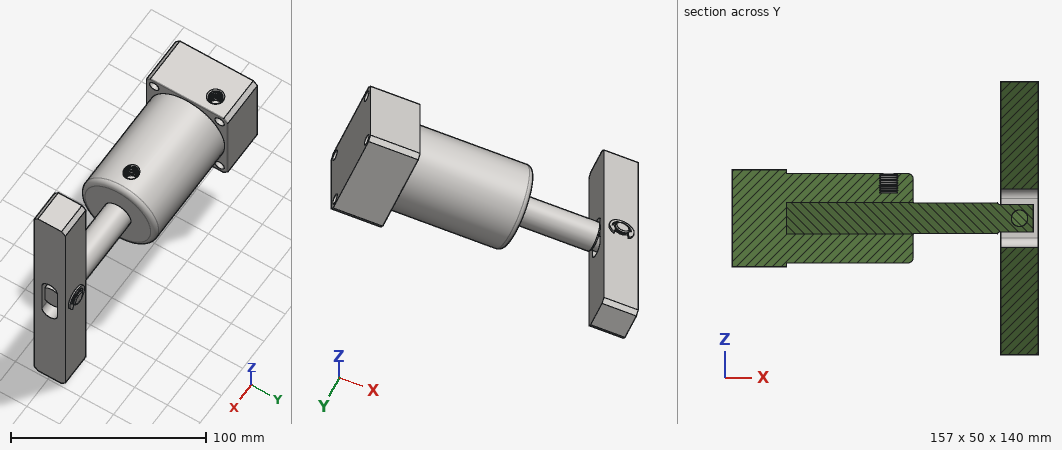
import cadquery as cq
import math

total_length = 157.0

block_length = 28.0
block_width = 50.0
block_chamfer = 2.5
block_edge_radius = 0.3
barrel_end = 93.0
barrel_radius = 23.1
barrel_fillet = 3.0
bolt_spacing = 40.0
bolt_hole_diameter = 5.7

port_major_radius = 4.7
port_minor_radius = 4.0
thread_pitch = 1.3
thread_count = 8
port_depth = thread_count * thread_pitch
block_port_x = 18.8
block_port_y = 11.6
barrel_port_x = 80.2
passage_diameter = 1.3
passage_depth = 2.5

rod_radius = 8.0
rod_chamfer = 1.0
shoulder_x = 136.9
tongue_width = 9.4
tongue_radius = rod_radius - rod_chamfer

arm_length = 19.3
arm_width = 19.2
arm_height = 140.0
arm_chamfer = 2.4
slot_length = 29.7
arm_x = total_length - arm_length / 2
tongue_end = arm_x + tongue_radius

pin_radius = 4.1
pin_length = 23.5
pin_chamfer = 0.6
groove_radius = 3.1
clip_radius = 6.9
clip_thickness = 1.0
clip_relief_radius = 5.3
relief_start_angle = 5.0
relief_end_angle = 70.0
mouth_inner_width = 2 * groove_radius
mouth_outer_width = 8.5


def rod_axis_cylinder(radius, start_x, end_x):
    """Cylinder on the X axis between two X positions."""
    return cq.Workplane("YZ", origin=(start_x, 0, 0)).circle(radius).extrude(end_x - start_x)


def cross_cylinder(radius, length):
    """Cylinder along Y through the pin centre, symmetric about the rod axis."""
    return cq.Workplane("XZ", origin=(arm_x, 0, 0)).circle(radius).extrude(length / 2, both=True)


def threaded_port(x, y, top_z):
    """Cutter for a blind flat-bottomed port with V-shaped thread grooves."""
    outline = cq.Workplane("XZ").moveTo(0, -port_depth).lineTo(port_major_radius, -port_depth)
    for turn in range(thread_count):
        turn_bottom = turn * thread_pitch - port_depth
        outline = outline.lineTo(port_minor_radius, turn_bottom + thread_pitch / 2)
        outline = outline.lineTo(port_major_radius, turn_bottom + thread_pitch)
    outline = outline.lineTo(port_major_radius, thread_pitch).lineTo(0, thread_pitch).close()
    cutter = outline.revolve(360, (0, 0, 0), (0, 1, 0))
    return cutter.translate((x, y, top_z))


def make_housing():
    block = (
        cq.Workplane("YZ")
        .rect(block_width, block_width)
        .extrude(block_length)
        .edges("|X")
        .chamfer(block_chamfer)
        .faces(">X")
        .edges()
        .fillet(block_edge_radius)
    )
    bolt_holes = (
        cq.Workplane("YZ")
        .rect(bolt_spacing, bolt_spacing, forConstruction=True)
        .vertices()
        .circle(bolt_hole_diameter / 2)
        .extrude(block_length)
    )
    barrel = rod_axis_cylinder(barrel_radius, block_length, barrel_end)
    barrel = barrel.faces(">X").edges().fillet(barrel_fillet)
    rod_bore = rod_axis_cylinder(rod_radius, block_length, barrel_end)
    block_top = block_width / 2
    passage = (
        cq.Workplane("XY", origin=(block_port_x, block_port_y, block_top - port_depth))
        .circle(passage_diameter / 2)
        .extrude(-passage_depth)
    )
    return (
        block.cut(bolt_holes)
        .union(barrel)
        .cut(rod_bore)
        .cut(threaded_port(block_port_x, block_port_y, block_top))
        .cut(passage)
        .cut(threaded_port(barrel_port_x, 0, barrel_radius))
    )


def make_rod():
    shaft = rod_axis_cylinder(rod_radius, block_length, shoulder_x)
    shaft = shaft.faces(">X").edges().chamfer(rod_chamfer)
    tongue_length = tongue_end - shoulder_x
    flats = cq.Workplane("XY").box(tongue_length, tongue_width, 2 * tongue_radius)
    flats = flats.translate((shoulder_x + tongue_length / 2, 0, 0))
    tongue = rod_axis_cylinder(tongue_radius, shoulder_x, tongue_end).intersect(flats)
    return shaft.union(tongue).cut(cross_cylinder(pin_radius, pin_length))


def make_arm():
    bar = (
        cq.Workplane("XY")
        .box(arm_length, arm_width, arm_height)
        .edges("|X")
        .chamfer(arm_chamfer)
        .translate((arm_x, 0, 0))
    )
    slot = (
        cq.Workplane("YZ", origin=(arm_x, 0, 0))
        .slot2D(slot_length, tongue_width, 90)
        .extrude(arm_length / 2, both=True)
    )
    return bar.cut(slot).cut(cross_cylinder(pin_radius, arm_width))


def make_pin():
    pin = cross_cylinder(pin_radius, pin_length).faces("<Y or >Y").edges().chamfer(pin_chamfer)
    clip_span = cross_cylinder(pin_radius, arm_width + 2 * clip_thickness)
    grooves = clip_span.cut(cross_cylinder(pin_radius, arm_width)).cut(
        cross_cylinder(groove_radius, pin_length)
    )
    return pin.cut(grooves)


def relief_point(radius, angle):
    """Point on the clip plane at a radius and an angle from +X."""
    return radius * math.cos(math.radians(angle)), radius * math.sin(math.radians(angle))


def make_clip(inner_y):
    """E-shaped retaining clip lying from inner_y toward +Y, with its mouth facing down."""
    plane = cq.Workplane("XZ")
    clip = plane.circle(clip_radius).circle(groove_radius).extrude(-clip_thickness)
    mouth = (
        plane.moveTo(-mouth_inner_width / 2, 0)
        .lineTo(-mouth_outer_width / 2, -clip_radius)
        .lineTo(mouth_outer_width / 2, -clip_radius)
        .lineTo(mouth_inner_width / 2, 0)
        .close()
        .extrude(-clip_thickness)
    )
    middle_angle = (relief_start_angle + relief_end_angle) / 2
    relief = (
        plane.moveTo(0, 0)
        .lineTo(*relief_point(clip_relief_radius, relief_start_angle))
        .threePointArc(
            relief_point(clip_relief_radius, middle_angle),
            relief_point(clip_relief_radius, relief_end_angle),
        )
        .close()
        .extrude(-clip_thickness)
    )
    clip = clip.cut(mouth).cut(relief).cut(relief.mirror("YZ"))
    return clip.translate((arm_x, inner_y, 0))


housing = make_housing()
rod = make_rod()
arm = make_arm()
pin = make_pin()
clips = [make_clip(inner_y) for inner_y in (arm_width / 2, -arm_width / 2 - clip_thickness)]

result = cq.Compound.makeCompound(
    [housing.val(), rod.val(), arm.val(), pin.val(), *[clip.val() for clip in clips]]
)